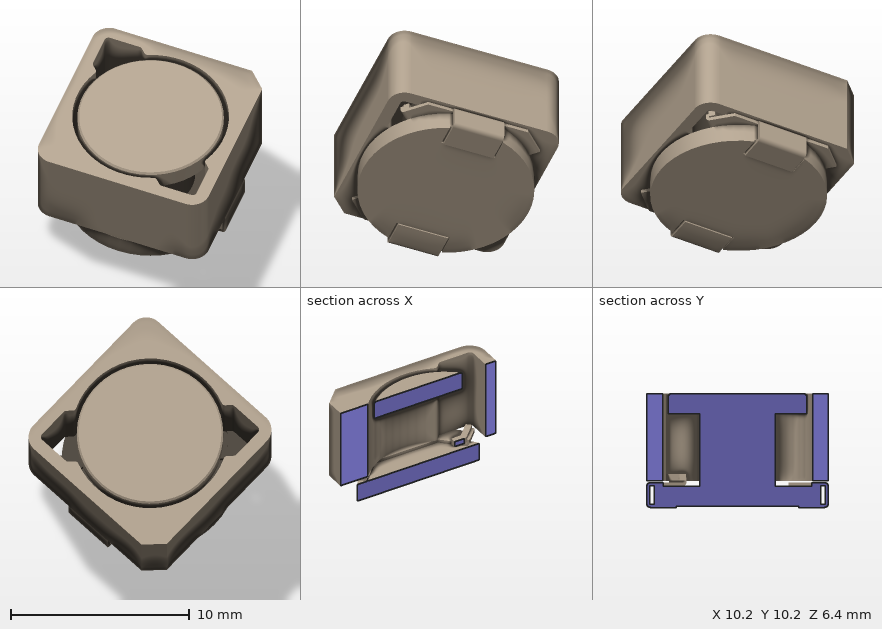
import cadquery as cq
import math

SHIELD_SIDE = 10.2
SHIELD_TOP = 6.4
SHIELD_BOTTOM = 1.5
CORNER_SIZE = 1.0
BORE_RADIUS = 4.39
POCKET_CORNER_RADIUS = 0.22
NECK_OFFSET = 2.1
NECK_RADIUS = 0.2

DISC_DIAMETER = 9.9
DISC_FLAT_X = 4.68
DISC_BOTTOM = 0.08
DISC_TOP = 1.22
POST_DIAMETER = 5.0
FLANGE_DIAMETER = 8.2
FLANGE_TOP = SHIELD_TOP
FLANGE_THICKNESS = DISC_TOP - DISC_BOTTOM
FLANGE_CHAMFER = 0.1

SHEET = 0.2
TERMINAL_X = SHIELD_SIDE / 2
TERMINAL_TOP = DISC_TOP + SHEET
TERMINAL_WIDTH = 3.0
BEND_RADIUS = 0.25
FOOT_LENGTH = 1.68
PLATE_OUTER_X = TERMINAL_X - SHEET
PLATE_INNER_X = 4.14
ARM_OUTER_LINE = 7.89
ARM_INNER_LINE = 6.19
ARM_TIP_LINE = 0.49
LIP_THICKNESS = 0.18
LIP_TOP = 1.68

WIRE_SIZE = 0.36
STRAIGHT_LEAD_ANGLE = 135
BENT_LEAD_ANGLE = -45
LEAD_OUTER_RADIUS = ARM_OUTER_LINE / math.sqrt(2)
BENT_LEAD_INNER_RADIUS = 4.41
BENT_LEAD_BASE = 1.53
BENT_LEAD_LENGTH = 0.61
BEND_END_ANGLE = 180
BEND_START_ANGLE = BEND_END_ANGLE - BENT_LEAD_ANGLE


def make_pocket():
    """Square corner pocket at -X +Y that opens into the bore through a neck."""
    wall = BORE_RADIUS
    height = SHIELD_TOP - SHIELD_BOTTOM
    neck_reach = wall / 2
    middle = neck_reach / 2
    pocket = (
        cq.Workplane("XY")
        .workplane(offset=SHIELD_BOTTOM)
        .polyline([
            (-wall, wall),
            (NECK_OFFSET - wall, wall),
            (NECK_OFFSET / 2 - middle, NECK_OFFSET / 2 + middle),
            (-NECK_OFFSET / 2 - middle, middle - NECK_OFFSET / 2),
            (-wall, wall - NECK_OFFSET),
        ])
        .close()
        .extrude(height)
    )
    outer_corner = cq.selectors.NearestToPointSelector((-wall, wall, SHIELD_BOTTOM + height / 2))
    return pocket.edges(outer_corner).fillet(POCKET_CORNER_RADIUS)


def vertical_edge_near(x, y):
    middle_z = (SHIELD_TOP + SHIELD_BOTTOM) / 2
    return cq.selectors.NearestToPointSelector((x, y, middle_z))


def make_shield():
    height = SHIELD_TOP - SHIELD_BOTTOM
    block = (
        cq.Workplane("XY")
        .workplane(offset=SHIELD_BOTTOM)
        .rect(SHIELD_SIDE, SHIELD_SIDE)
        .extrude(height)
    )
    half = SHIELD_SIDE / 2
    block = block.edges(vertical_edge_near(half, half)).chamfer(CORNER_SIZE)
    for x, y in [(-half, half), (-half, -half), (half, -half)]:
        block = block.edges(vertical_edge_near(x, y)).fillet(CORNER_SIZE)

    bore = cq.Workplane("XY").workplane(offset=SHIELD_BOTTOM).circle(BORE_RADIUS).extrude(height)
    pocket = make_pocket()
    opening = bore.union(pocket).union(pocket.rotate((0, 0, 0), (0, 0, 1), 180))
    shield = block.cut(opening)

    neck_depth = NECK_OFFSET / math.sqrt(2)
    mouth_radius = math.sqrt(BORE_RADIUS ** 2 - neck_depth ** 2)
    mouth_near = (mouth_radius - neck_depth) / math.sqrt(2)
    mouth_far = (mouth_radius + neck_depth) / math.sqrt(2)
    pocket_near = BORE_RADIUS - NECK_OFFSET
    for side in (-1, 1):
        for near, far in [(mouth_near, mouth_far), (pocket_near, BORE_RADIUS)]:
            shield = shield.edges(vertical_edge_near(side * near, -side * far)).fillet(NECK_RADIUS)
            shield = shield.edges(vertical_edge_near(side * far, -side * near)).fillet(NECK_RADIUS)
    return shield


def make_drum():
    """Bottom disc with two flats, centre post and chamfered top flange."""
    disc_height = DISC_TOP - DISC_BOTTOM
    disc = cq.Workplane("XY").workplane(offset=DISC_BOTTOM).circle(DISC_DIAMETER / 2).extrude(disc_height)
    flats = (
        cq.Workplane("XY")
        .workplane(offset=DISC_BOTTOM)
        .rect(2 * DISC_FLAT_X, DISC_DIAMETER)
        .extrude(disc_height)
    )
    disc = disc.intersect(flats)

    recess_width = 2 * math.sqrt((DISC_DIAMETER / 2) ** 2 - DISC_FLAT_X ** 2)
    for side in (-1, 1):
        recess = (
            cq.Workplane("XY")
            .center(side * (TERMINAL_X - FOOT_LENGTH / 2), 0)
            .rect(FOOT_LENGTH, recess_width)
            .extrude(SHEET)
        )
        disc = disc.cut(recess)

    flange_bottom = FLANGE_TOP - FLANGE_THICKNESS
    post = (
        cq.Workplane("XY")
        .workplane(offset=DISC_TOP)
        .circle(POST_DIAMETER / 2)
        .extrude(flange_bottom - DISC_TOP)
    )
    flange = (
        cq.Workplane("XY")
        .workplane(offset=flange_bottom)
        .circle(FLANGE_DIAMETER / 2)
        .extrude(FLANGE_THICKNESS)
        .faces(">Z")
        .chamfer(FLANGE_CHAMFER)
    )
    return disc.union(post).union(flange)


def add_lip(plate):
    """Turn up the tip of the +Y arm, with a rounded bend under it."""
    inner = ARM_INNER_LINE / math.sqrt(2)
    outer = ARM_OUTER_LINE / math.sqrt(2)
    tip_offset = ARM_TIP_LINE / math.sqrt(2)
    lip = (
        cq.Workplane("XY")
        .workplane(offset=DISC_TOP)
        .center((inner + outer) / 2, LIP_THICKNESS / 2 - tip_offset)
        .rect(outer - inner, LIP_THICKNESS)
        .extrude(LIP_TOP - DISC_TOP)
        .rotate((0, 0, 0), (0, 0, 1), STRAIGHT_LEAD_ANGLE)
    )
    arm_middle = (ARM_INNER_LINE + ARM_OUTER_LINE) / 2
    bend_point = ((ARM_TIP_LINE - arm_middle) / 2, (ARM_TIP_LINE + arm_middle) / 2, DISC_TOP)
    return plate.union(lip).edges(cq.selectors.NearestToPointSelector(bend_point)).fillet(BEND_RADIUS)


def make_terminal():
    """Terminal at -X: a C-shaped strip round the disc edge and a plate with two arms."""
    half_width = TERMINAL_WIDTH / 2
    strip = (
        cq.Workplane("XZ")
        .workplane(offset=-half_width)
        .polyline([
            (-PLATE_INNER_X, TERMINAL_TOP),
            (-TERMINAL_X, TERMINAL_TOP),
            (-TERMINAL_X, 0),
            (FOOT_LENGTH - TERMINAL_X, 0),
            (FOOT_LENGTH - TERMINAL_X, SHEET),
            (-PLATE_OUTER_X, SHEET),
            (-PLATE_OUTER_X, DISC_TOP),
            (-PLATE_INNER_X, DISC_TOP),
        ])
        .close()
        .extrude(TERMINAL_WIDTH)
        .edges("|Y and <X")
        .fillet(BEND_RADIUS)
    )

    upper_half = [
        (-PLATE_INNER_X, ARM_INNER_LINE - PLATE_INNER_X),
        ((ARM_TIP_LINE - ARM_INNER_LINE) / 2, (ARM_TIP_LINE + ARM_INNER_LINE) / 2),
        ((ARM_TIP_LINE - ARM_OUTER_LINE) / 2, (ARM_TIP_LINE + ARM_OUTER_LINE) / 2),
        (-PLATE_OUTER_X, ARM_OUTER_LINE - PLATE_OUTER_X),
    ]
    lower_half = [(x, -y) for x, y in reversed(upper_half)]
    plate = (
        cq.Workplane("XY")
        .workplane(offset=DISC_TOP)
        .polyline(upper_half + lower_half)
        .close()
        .extrude(SHEET)
    )
    return strip.union(add_lip(plate))


def make_radial_lead(inner_radius, angle, base):
    """Radial wire over an arm, from inner_radius out to the arm's outer edge."""
    length = LEAD_OUTER_RADIUS - inner_radius
    return (
        cq.Workplane("XY")
        .workplane(offset=base)
        .center(inner_radius + length / 2, 0)
        .rect(length, WIRE_SIZE)
        .extrude(WIRE_SIZE)
        .rotate((0, 0, 0), (0, 0, 1), angle)
    )


def make_bent_lead():
    """Lead at +X -Y: a radial length beside the lip, then a turn to +Y."""
    lead = make_radial_lead(BENT_LEAD_INNER_RADIUS, BENT_LEAD_ANGLE, BENT_LEAD_BASE)
    corner_x = (BENT_LEAD_INNER_RADIUS + WIRE_SIZE / 2) / math.sqrt(2)
    corner_y = (WIRE_SIZE / 2 - BENT_LEAD_INNER_RADIUS) / math.sqrt(2)

    def outside_point(angle):
        turn_angle = math.radians(angle)
        return (corner_x + WIRE_SIZE * math.cos(turn_angle), corner_y + WIRE_SIZE * math.sin(turn_angle))

    turn = (
        cq.Workplane("XY")
        .workplane(offset=BENT_LEAD_BASE)
        .moveTo(corner_x, corner_y)
        .lineTo(*outside_point(BEND_START_ANGLE))
        .threePointArc(
            outside_point((BEND_START_ANGLE + BEND_END_ANGLE) / 2),
            outside_point(BEND_END_ANGLE),
        )
        .line(0, BENT_LEAD_LENGTH)
        .line(WIRE_SIZE, 0)
        .close()
        .extrude(WIRE_SIZE)
    )
    return lead.union(turn)


def make_wound_core():
    """Drum core with its two terminals and lead ends, joined into one body."""
    terminal = make_terminal()
    core = make_drum().union(terminal)
    core = core.union(terminal.rotate((0, 0, 0), (0, 0, 1), 180))
    straight_lead = make_radial_lead(POST_DIAMETER / 2 - WIRE_SIZE, STRAIGHT_LEAD_ANGLE, TERMINAL_TOP)
    return core.union(straight_lead).union(make_bent_lead())


shield = make_shield()
wound_core = make_wound_core()

result = cq.Compound.makeCompound([shield.val(), wound_core.val()])